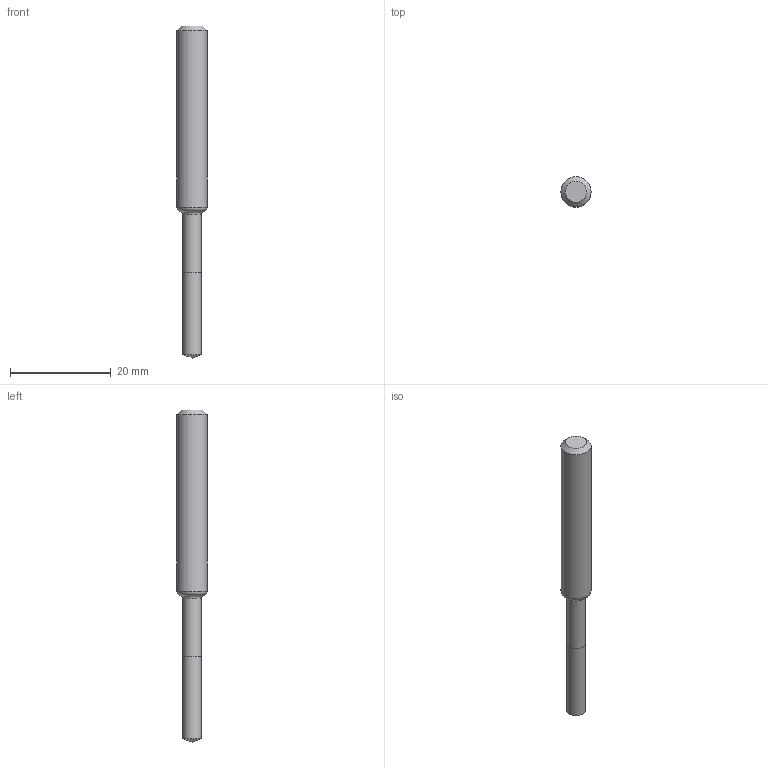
import cadquery as cq
import math

total_length = 66.0
shank_length = 36.0
cutter_length = 17.0

shank_radius = 6.0 / 2
chamfer = 0.9

neck_radius = 3.6 / 2

shoulder_height = 1.4
concave_share = 0.33

cutter_radius = 3.75 / 2
point_angle = math.radians(140)
point_height = cutter_radius / math.tan(point_angle / 2)

shoulder_top = total_length - shank_length
shoulder_bottom = shoulder_top - shoulder_height


def revolve_about_z(profile):
    """Turn a closed half profile, drawn as (radius, height), about the Z axis."""
    return profile.close().revolve(360, (0, 0, 0), (0, 1, 0))


def make_shank():
    """Chamfered shank that runs through an S-curved shoulder into the neck."""
    arc_joint = (
        neck_radius + concave_share * (shank_radius - neck_radius),
        shoulder_bottom + concave_share * shoulder_height,
    )
    profile = (
        cq.Workplane("XZ")
        .moveTo(0, cutter_length)
        .lineTo(neck_radius, cutter_length)
        .lineTo(neck_radius, shoulder_bottom)
        .tangentArcPoint(arc_joint, relative=False)
        .tangentArcPoint((shank_radius, shoulder_top), relative=False)
        .lineTo(shank_radius, total_length - chamfer)
        .lineTo(shank_radius - chamfer, total_length)
        .lineTo(0, total_length)
    )
    return revolve_about_z(profile)


def make_cutter():
    """Plain cylinder ending in the conical drill point."""
    profile = (
        cq.Workplane("XZ")
        .moveTo(0, 0)
        .lineTo(cutter_radius, point_height)
        .lineTo(cutter_radius, cutter_length)
        .lineTo(0, cutter_length)
    )
    return revolve_about_z(profile)


shank = make_shank()
cutter = make_cutter()

result = cq.Compound.makeCompound([shank.val(), cutter.val()])